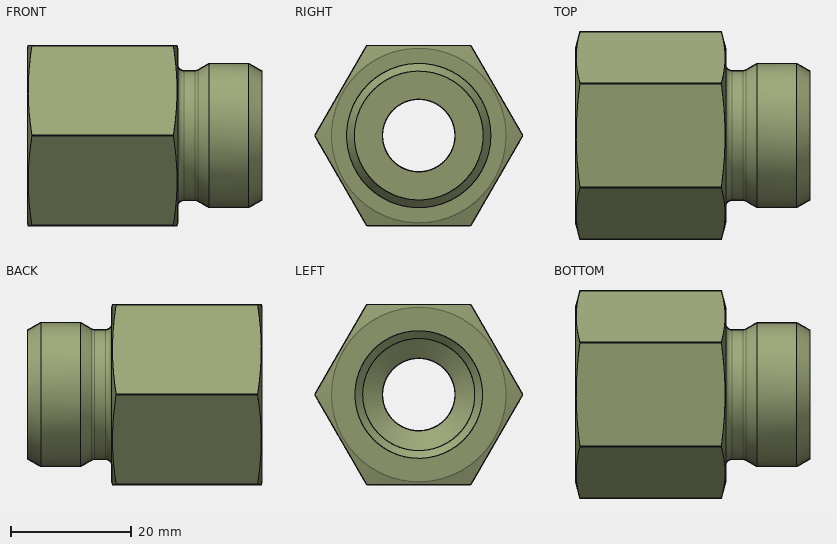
import cadquery as cq
import math

total_length = 39.0
hex_length = 25.0
across_flats = 30.0
corner_diameter = 34.5
hex_face_diameter = 29.0
hex_chamfer_angle = math.radians(15)

neck_diameter = 21.6
thread_diameter = 24.0
thread_start = 30.2
neck_fillet = 1.0
end_chamfer_length = 2.22
cone_angle = math.radians(30)

through_diameter = 12.0
bore_diameter = 18.65
mouth_diameter = 21.2
mouth_chamfer_angle = math.radians(45)
bore_depth = 17.15
drill_half_angle = math.radians(59)


def revolve_about_x(profile):
    return profile.close().revolve(360, (0, 0, 0), (1, 0, 0))


def make_hexagon():
    """Hexagon with flats at +Z and -Z, its corners turned down and both ends chamfered."""
    across_corners = across_flats / math.cos(math.pi / 6)
    prism = cq.Workplane("YZ").polygon(6, across_corners).extrude(hex_length)
    corner_radius = corner_diameter / 2
    face_radius = hex_face_diameter / 2
    chamfer_length = (corner_radius - face_radius) * math.tan(hex_chamfer_angle)
    turned_envelope = revolve_about_x(
        cq.Workplane("XY")
        .lineTo(0, face_radius)
        .lineTo(chamfer_length, corner_radius)
        .lineTo(hex_length - chamfer_length, corner_radius)
        .lineTo(hex_length, face_radius)
        .lineTo(hex_length, 0)
    )
    return prism.intersect(turned_envelope)


def make_male_end():
    """Neck with a fillet at each end, a cone up to the thread body and a chamfered tip."""
    neck_radius = neck_diameter / 2
    thread_radius = thread_diameter / 2
    fillet_center_radius = neck_radius + neck_fillet

    cone_start_radius = fillet_center_radius - neck_fillet * math.cos(cone_angle)
    cone_start = thread_start - (thread_radius - cone_start_radius) / math.tan(cone_angle)
    neck_end = cone_start - neck_fillet * math.sin(cone_angle)
    cone_fillet_middle = (
        neck_end + neck_fillet * math.sin(cone_angle / 2),
        fillet_center_radius - neck_fillet * math.cos(cone_angle / 2),
    )

    shoulder_fillet_end = hex_length + neck_fillet
    shoulder_fillet_middle = (
        shoulder_fillet_end - neck_fillet * math.sin(math.pi / 4),
        fillet_center_radius - neck_fillet * math.cos(math.pi / 4),
    )
    tip_radius = thread_radius - end_chamfer_length * math.tan(cone_angle)
    return revolve_about_x(
        cq.Workplane("XY")
        .moveTo(hex_length, 0)
        .lineTo(hex_length, fillet_center_radius)
        .threePointArc(shoulder_fillet_middle, (shoulder_fillet_end, neck_radius))
        .lineTo(neck_end, neck_radius)
        .threePointArc(cone_fillet_middle, (cone_start, cone_start_radius))
        .lineTo(thread_start, thread_radius)
        .lineTo(total_length - end_chamfer_length, thread_radius)
        .lineTo(total_length, tip_radius)
        .lineTo(total_length, 0)
    )


def make_bore():
    """Chamfered mouth, main bore with a conical bottom, and the smaller through hole."""
    mouth_radius = mouth_diameter / 2
    bore_radius = bore_diameter / 2
    through_radius = through_diameter / 2
    mouth_depth = (mouth_radius - bore_radius) / math.tan(mouth_chamfer_angle)
    cone_length = (bore_radius - through_radius) / math.tan(drill_half_angle)
    return revolve_about_x(
        cq.Workplane("XY")
        .lineTo(0, mouth_radius)
        .lineTo(mouth_depth, bore_radius)
        .lineTo(bore_depth, bore_radius)
        .lineTo(bore_depth + cone_length, through_radius)
        .lineTo(total_length, through_radius)
        .lineTo(total_length, 0)
    )


result = make_hexagon().union(make_male_end()).cut(make_bore())